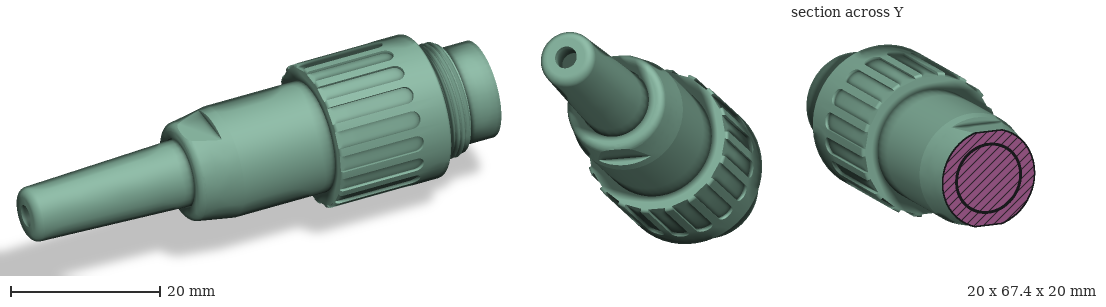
import cadquery as cq
import math

total_length = 67.4
body_end_y = 22.8
body_taper_y = 28.8
coupling_rear_y = 42.25
coupling_front_y = 58.6
thread_front_y = 62.5

relief_tip_dia = 7.55
relief_exit_dia = 9.3
relief_tip_round = 1.15
cord_hole_dia = 3.0
cord_hole_depth = 3.4
relief_seat_dia = 9.6
relief_seat_depth = 1.35

body_dia = 15.5
body_end_dia = 13.5
body_end_round = 1.0
flat_offset = 6.55
flat_length = 4.6

coupling_dia = 20.0
coupling_edge_round = 0.4
flute_count = 18
flute_width = 2.35
flute_length = 12.2
flute_floor_radius = 9.5

thread_dia = 16.0
thread_root_dia = 15.3
thread_pitch = 0.75
thread_ridge_width = 0.7
thread_embed = 0.1
thread_crest_y = 61.4
nose_dia = 13.5


def cylinder(diameter, start_y, end_y):
    """Solid cylinder on the Y axis between two stations."""
    disc = cq.Workplane("XZ", origin=(0, start_y, 0)).circle(diameter / 2)
    return disc.extrude(start_y - end_y)


def cone(start_dia, end_dia, start_y, end_y):
    """Solid frustum on the Y axis between two stations."""
    outline = [(0, start_y), (start_dia / 2, start_y), (end_dia / 2, end_y), (0, end_y)]
    return cq.Workplane("XY").polyline(outline).close().revolve(360, (0, 0), (0, 1))


def make_strain_relief():
    """Tapered sleeve with a rounded tip and a blind cord hole; its root sits inside the body."""
    growth = (relief_exit_dia - relief_tip_dia) / body_end_y
    root_y = body_end_y + relief_seat_depth
    root_dia = relief_tip_dia + growth * root_y
    sleeve = cone(relief_tip_dia, root_dia, 0, root_y)
    sleeve = sleeve.faces("<Y").edges().fillet(relief_tip_round)
    return sleeve.cut(cylinder(cord_hole_dia, 0, cord_hole_depth))


def make_body():
    """Cylinder with a tapered, rounded rear end, two wrench flats and a seat for the sleeve."""
    rear = cone(body_end_dia, body_dia, body_end_y, body_taper_y)
    rear = rear.faces("<Y").edges().fillet(body_end_round)
    for side in (-1, 1):
        flat_cut = cq.Workplane("XY").box(body_dia, flat_length, body_dia, centered=(True, False, True))
        rear = rear.cut(flat_cut.translate((0, body_end_y, side * (flat_offset + body_dia / 2))))
    rear = rear.cut(cylinder(relief_seat_dia, body_end_y, body_end_y + relief_seat_depth))
    return rear.union(cylinder(body_dia, body_taper_y, coupling_rear_y))


def make_coupling():
    """Ring with rounded rims and finger flutes that run out of its rear face."""
    ring = cylinder(coupling_dia, coupling_rear_y, coupling_front_y)
    ring = ring.faces("<Y or >Y").edges().fillet(coupling_edge_round)
    flute = (
        cq.Workplane("XY", origin=(0, coupling_rear_y, flute_floor_radius))
        .slot2D(2 * flute_length, flute_width, 90)
        .extrude(coupling_dia / 2)
    )
    for index in range(flute_count):
        ring = ring.cut(flute.rotate((0, 0, 0), (0, 1, 0), index * 360 / flute_count))
    return ring


def make_thread():
    """Right-hand single-start thread on a root cylinder, trimmed to the threaded length."""
    root_radius = thread_root_dia / 2
    ridge_half_width = thread_ridge_width / 2
    turns = math.floor((thread_front_y - coupling_front_y) / thread_pitch) + 1
    height = turns * thread_pitch
    helix = cq.Wire.makeHelix(thread_pitch, height, root_radius)
    ridge = (
        cq.Workplane("XZ")
        .polyline([
            (root_radius - thread_embed, -ridge_half_width),
            (thread_dia / 2, 0),
            (root_radius - thread_embed, ridge_half_width),
        ])
        .close()
        .sweep(cq.Workplane(obj=helix), isFrenet=True)
    )
    ridge = ridge.rotate((0, 0, 0), (1, 0, 0), -90)
    ridge = ridge.translate((0, thread_crest_y - (turns - 1) * thread_pitch, 0))
    ridge = ridge.intersect(cylinder(2 * thread_dia, coupling_front_y, thread_front_y))
    return cylinder(thread_root_dia, coupling_front_y, thread_front_y).union(ridge)


nose = cylinder(nose_dia, thread_front_y, total_length)

result = (
    make_body()
    .union(make_strain_relief())
    .union(make_coupling())
    .union(make_thread())
    .union(nose)
)